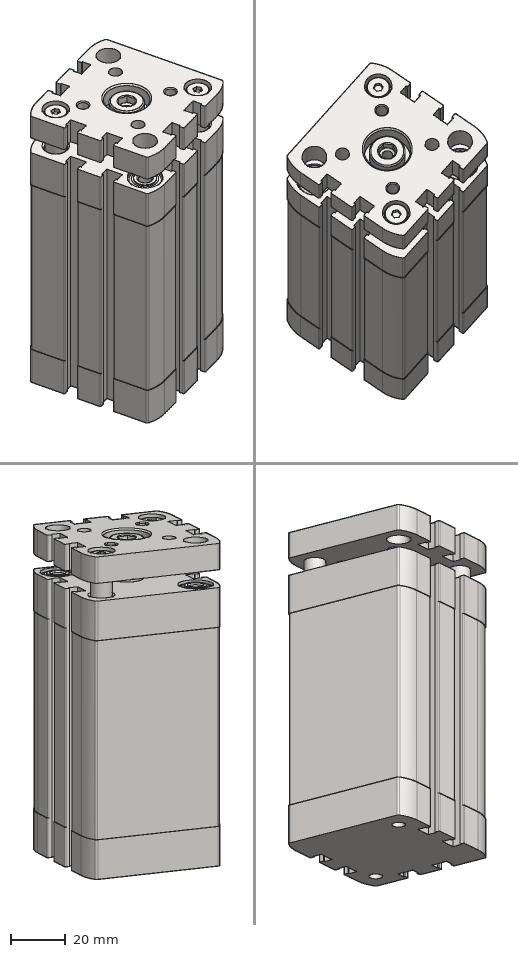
import cadquery as cq
import math

TOTAL_HEIGHT = 121.6
HOUSING_HEIGHT = 105.0
PLATE_THICKNESS = 10.0
CAP_HEIGHT = 15.0
PLATE_BOTTOM = TOTAL_HEIGHT - PLATE_THICKNESS
UPPER_CAP_BOTTOM = HOUSING_HEIGHT - CAP_HEIGHT
SHAFT_BOTTOM = UPPER_CAP_BOTTOM

CAP_WIDTH = 54.5
BARREL_WIDTH = 54.0
CORNER_RADIUS = 15.2
CORNER_START = 19.0
CORNER_EDGE_FILLET = 1.0

SLOT_OPENING_INNER = 5.0
SLOT_OPENING_OUTER = 10.3
SLOT_UNDERCUT_INNER = 4.4
SLOT_UNDERCUT_OUTER = 11.0
SLOT_DEPTH = 5.5
SLOT_LIP = 2.0
SLOT_MOUTH_ROUND = 0.4
SLOT_CUT_MARGIN = 1.2

CORNER_OFFSET = 19.0
SMALL_HOLE_OFFSET = 11.7
GUIDE_SIGNS = [(1, 1), (-1, -1)]
SCREW_SIGNS = [(-1, 1), (1, -1)]

ROD_DIAMETER = 12.0
ROD_FLATS_WIDTH = 10.0
ROD_FLATS_BOTTOM = 106.9
ROD_FLATS_DROP = 0.9
COLLAR_DIAMETER = 13.0
COLLAR_CHAMFER = 0.55
COLLAR_TOP = 120.4
ROD_SOCKET_WIDTH = 6.0
ROD_SOCKET_DEPTH = 3.0
ROD_SOCKET_RIM = 7.0
ROD_SOCKET_CHAMFER = 0.4
ROD_DRILL_DIAMETER = 4.0
ROD_DRILL_DEPTH = 7.3
ROD_DRILL_CHAMFER = 0.5
ROD_DRILL_TIP = 1.1

GUIDE_DIAMETER = 8.0
GUIDE_BORE = 8.5
GUIDE_BORE_MOUTH = 10.0
HEAD_DIAMETER = 8.5
HEAD_CHAMFER = 0.2
HEAD_TOP = 120.6
HEAD_POCKET_DIAMETER = 10.0
HEAD_POCKET_DEPTH = 4.0
HEAD_SOCKET_WIDTH = 3.0
HEAD_SOCKET_DEPTH = 1.5
HEAD_SOCKET_TURN = 15

PLATE_BORE = 17.0
PLATE_BORE_CHAMFER = 0.6
PLATE_BORE_DEPTH = 6.7
ACCESS_DIAMETER = 9.0
DOWEL_DIAMETER = 5.0
THREAD_DIAMETER = 4.1
THREAD_MOUTH = 5.0

SCREW_RECESS_DIAMETER = 13.0
SCREW_RECESS_DEPTH = 1.1
SCREW_HEAD_DIAMETER = 11.9
SCREW_HEAD_RIM = 10.0
SCREW_HEAD_HEIGHT = 0.5
SCREW_BOSS_DIAMETER = 8.5
SCREW_BOSS_HEIGHT = 0.4
SCREW_BORE = 5.0
SCREW_BORE_MOUTH = 6.1


def cylinder(diameter, bottom, top, x=0, y=0):
    return cq.Workplane("XY", origin=(x, y, bottom)).circle(diameter / 2).extrude(top - bottom)


def cone(bottom_diameter, top_diameter, bottom, top, x=0, y=0):
    base = cq.Vector(x, y, bottom)
    return cq.Workplane(
        obj=cq.Solid.makeCone(bottom_diameter / 2, top_diameter / 2, top - bottom, pnt=base)
    )


def mouth_chamfer(hole_diameter, mouth_diameter, top, x=0, y=0):
    """45-degree cone that widens a hole to its mouth."""
    depth = (mouth_diameter - hole_diameter) / 2
    return cone(hole_diameter, mouth_diameter, top - depth, top, x, y)


def hexagon(width, bottom, top, x=0, y=0, turn=0):
    """Hexagonal prism, measured across its flats."""
    corner_diameter = width / math.cos(math.radians(30))
    prism = cq.Workplane("XY").polygon(6, corner_diameter).extrude(top - bottom)
    return prism.rotate((0, 0, 0), (0, 0, 1), turn).translate((x, y, bottom))


def square_block(width, bottom, top):
    """Square block whose corners are arcs tangent to the X sides."""
    half = width / 2
    arc_center_x = half - CORNER_RADIUS
    arc_angle = math.asin((half - CORNER_START) / CORNER_RADIUS)
    end_x = arc_center_x + CORNER_RADIUS * math.cos(arc_angle)
    middle_x = arc_center_x + CORNER_RADIUS * math.cos(arc_angle / 2)
    middle_y = CORNER_START + CORNER_RADIUS * math.sin(arc_angle / 2)
    block = (
        cq.Workplane("XY", origin=(0, 0, bottom))
        .moveTo(half, -CORNER_START)
        .lineTo(half, CORNER_START)
        .threePointArc((middle_x, middle_y), (end_x, half))
        .lineTo(-end_x, half)
        .threePointArc((-middle_x, middle_y), (-half, CORNER_START))
        .lineTo(-half, -CORNER_START)
        .threePointArc((-middle_x, -middle_y), (-end_x, -half))
        .lineTo(end_x, -half)
        .threePointArc((middle_x, -middle_y), (half, -CORNER_START))
        .close()
        .extrude(top - bottom)
    )
    return block.edges("|Z").edges(">Y or <Y").fillet(CORNER_EDGE_FILLET)


def slot_cutter(width, bottom, top):
    """One T-slot in the +X side of a block of the given width, with a rounded mouth."""
    face = width / 2
    outside = face + SLOT_CUT_MARGIN
    lip = CAP_WIDTH / 2 - SLOT_LIP
    floor = CAP_WIDTH / 2 - SLOT_DEPTH
    inner = SLOT_OPENING_INNER
    outer = SLOT_OPENING_OUTER
    rounding = SLOT_MOUTH_ROUND
    bulge = rounding * (1 - math.sqrt(0.5))
    return (
        cq.Workplane("XY", origin=(0, 0, bottom))
        .moveTo(face, inner - rounding)
        .lineTo(outside, inner - rounding)
        .lineTo(outside, outer + rounding)
        .lineTo(face, outer + rounding)
        .threePointArc((face - bulge, outer + bulge), (face - rounding, outer))
        .lineTo(lip, outer)
        .lineTo(lip, SLOT_UNDERCUT_OUTER)
        .lineTo(floor, SLOT_UNDERCUT_OUTER)
        .lineTo(floor, SLOT_UNDERCUT_INNER)
        .lineTo(lip, SLOT_UNDERCUT_INNER)
        .lineTo(lip, inner)
        .lineTo(face - rounding, inner)
        .threePointArc((face - bulge, inner - bulge), (face, inner - rounding))
        .close()
        .extrude(top - bottom)
    )


def slotted_block(width, bottom, top):
    """Block with a pair of T-slots in its +X, -Y and -X sides."""
    block = square_block(width, bottom, top)
    slot = slot_cutter(width, bottom, top)
    for cutter in (slot, slot.mirror("XZ")):
        for turn in (0, -90, 180):
            block = block.cut(cutter.rotate((0, 0, 0), (0, 0, 1), turn))
    return block


def add_housing_screw(housing, x, y):
    """Stepped screw head in a round recess, with a hole through the whole housing."""
    recess_floor = HOUSING_HEIGHT - SCREW_RECESS_DEPTH
    rim_top = recess_floor + SCREW_HEAD_HEIGHT
    boss_top = rim_top + SCREW_BOSS_HEIGHT
    housing = housing.cut(cylinder(SCREW_RECESS_DIAMETER, recess_floor, HOUSING_HEIGHT, x, y))
    housing = housing.union(cone(SCREW_HEAD_DIAMETER, SCREW_HEAD_RIM, recess_floor, rim_top, x, y))
    housing = housing.union(cylinder(SCREW_BOSS_DIAMETER, rim_top, boss_top, x, y))
    housing = housing.cut(cylinder(SCREW_BORE, 0, boss_top, x, y))
    return housing.cut(mouth_chamfer(SCREW_BORE, SCREW_BORE_MOUTH, boss_top, x, y))


def make_housing():
    lower_cap = slotted_block(CAP_WIDTH, 0, CAP_HEIGHT)
    barrel = slotted_block(BARREL_WIDTH, CAP_HEIGHT, UPPER_CAP_BOTTOM)
    upper_cap = slotted_block(CAP_WIDTH, UPPER_CAP_BOTTOM, HOUSING_HEIGHT)
    housing = lower_cap.union(barrel).union(upper_cap)

    housing = housing.cut(cylinder(ROD_DIAMETER, SHAFT_BOTTOM, HOUSING_HEIGHT))
    for x_sign, y_sign in GUIDE_SIGNS:
        x = x_sign * CORNER_OFFSET
        y = y_sign * CORNER_OFFSET
        housing = housing.cut(cylinder(GUIDE_BORE, SHAFT_BOTTOM, HOUSING_HEIGHT, x, y))
        housing = housing.cut(mouth_chamfer(GUIDE_BORE, GUIDE_BORE_MOUTH, HOUSING_HEIGHT, x, y))
    for x_sign, y_sign in SCREW_SIGNS:
        housing = add_housing_screw(housing, x_sign * CORNER_OFFSET, y_sign * CORNER_OFFSET)
    return housing


def cut_wrench_flats(rod):
    """Flats on the -Y and +Y sides, each ending below in a floor that slopes outward."""
    radius = ROD_DIAMETER / 2
    flat = ROD_FLATS_WIDTH / 2
    cutter = (
        cq.Workplane("YZ", origin=(-radius, 0, 0))
        .moveTo(flat, PLATE_BOTTOM)
        .lineTo(flat, ROD_FLATS_BOTTOM)
        .lineTo(radius, ROD_FLATS_BOTTOM - ROD_FLATS_DROP)
        .lineTo(radius, PLATE_BOTTOM)
        .close()
        .extrude(ROD_DIAMETER)
    )
    return rod.cut(cutter).cut(cutter.mirror("XZ"))


def cut_rod_socket(rod):
    """Hexagon socket in the rod end, with a drilled hole in its floor."""
    socket_floor = COLLAR_TOP - ROD_SOCKET_DEPTH
    drill_bottom = socket_floor - ROD_DRILL_DEPTH
    rod = rod.cut(hexagon(ROD_SOCKET_WIDTH, socket_floor, COLLAR_TOP))
    rod = rod.cut(cone(ROD_SOCKET_WIDTH, ROD_SOCKET_RIM, COLLAR_TOP - ROD_SOCKET_CHAMFER, COLLAR_TOP))
    rod = rod.cut(
        cone(ROD_DRILL_DIAMETER, ROD_SOCKET_WIDTH, socket_floor - ROD_DRILL_CHAMFER, socket_floor)
    )
    rod = rod.cut(cylinder(ROD_DRILL_DIAMETER, drill_bottom, socket_floor))
    return rod.cut(cone(0, ROD_DRILL_DIAMETER, drill_bottom - ROD_DRILL_TIP, drill_bottom))


def make_rod():
    rod = cut_wrench_flats(cylinder(ROD_DIAMETER, SHAFT_BOTTOM, COLLAR_TOP))
    collar = cylinder(COLLAR_DIAMETER, TOTAL_HEIGHT - PLATE_BORE_DEPTH, COLLAR_TOP)
    rod = rod.union(collar.faces(">Z").chamfer(COLLAR_CHAMFER))
    return cut_rod_socket(rod)


def make_plate():
    plate = slotted_block(CAP_WIDTH, PLATE_BOTTOM, TOTAL_HEIGHT)
    bore_mouth = PLATE_BORE + 2 * PLATE_BORE_CHAMFER
    plate = plate.cut(cylinder(PLATE_BORE, TOTAL_HEIGHT - PLATE_BORE_DEPTH, TOTAL_HEIGHT))
    plate = plate.cut(mouth_chamfer(PLATE_BORE, bore_mouth, TOTAL_HEIGHT))

    for x_sign, y_sign in SCREW_SIGNS:
        x = x_sign * CORNER_OFFSET
        y = y_sign * CORNER_OFFSET
        plate = plate.cut(cylinder(ACCESS_DIAMETER, PLATE_BOTTOM, TOTAL_HEIGHT, x, y))
        x = x_sign * SMALL_HOLE_OFFSET
        y = y_sign * SMALL_HOLE_OFFSET
        plate = plate.cut(cylinder(DOWEL_DIAMETER, PLATE_BOTTOM, TOTAL_HEIGHT, x, y))

    for x_sign, y_sign in GUIDE_SIGNS:
        x = x_sign * SMALL_HOLE_OFFSET
        y = y_sign * SMALL_HOLE_OFFSET
        plate = plate.cut(cylinder(THREAD_DIAMETER, PLATE_BOTTOM, TOTAL_HEIGHT, x, y))
        plate = plate.cut(mouth_chamfer(THREAD_DIAMETER, THREAD_MOUTH, TOTAL_HEIGHT, x, y))
    return plate


def add_guide_rod(piston, x, y):
    """Guide rod below the plate, and its socket-head screw sunk in the plate's top."""
    pocket_floor = TOTAL_HEIGHT - HEAD_POCKET_DEPTH
    socket_floor = HEAD_TOP - HEAD_SOCKET_DEPTH
    head = cylinder(HEAD_DIAMETER, pocket_floor, HEAD_TOP, x, y).faces(">Z").chamfer(HEAD_CHAMFER)
    piston = piston.union(cylinder(GUIDE_DIAMETER, SHAFT_BOTTOM, PLATE_BOTTOM, x, y))
    piston = piston.cut(cylinder(HEAD_POCKET_DIAMETER, pocket_floor, TOTAL_HEIGHT, x, y))
    piston = piston.union(head)
    return piston.cut(hexagon(HEAD_SOCKET_WIDTH, socket_floor, HEAD_TOP, x, y, HEAD_SOCKET_TURN))


def make_piston():
    """Plate, piston rod and guide rods, which move together as one body."""
    rod_hole = cylinder(ROD_DIAMETER, PLATE_BOTTOM, TOTAL_HEIGHT)
    piston = make_plate().cut(rod_hole).union(make_rod())
    for x_sign, y_sign in GUIDE_SIGNS:
        piston = add_guide_rod(piston, x_sign * CORNER_OFFSET, y_sign * CORNER_OFFSET)
    return piston


housing = make_housing()
piston = make_piston()
result = cq.Compound.makeCompound([housing.solids().val(), piston.solids().val()])